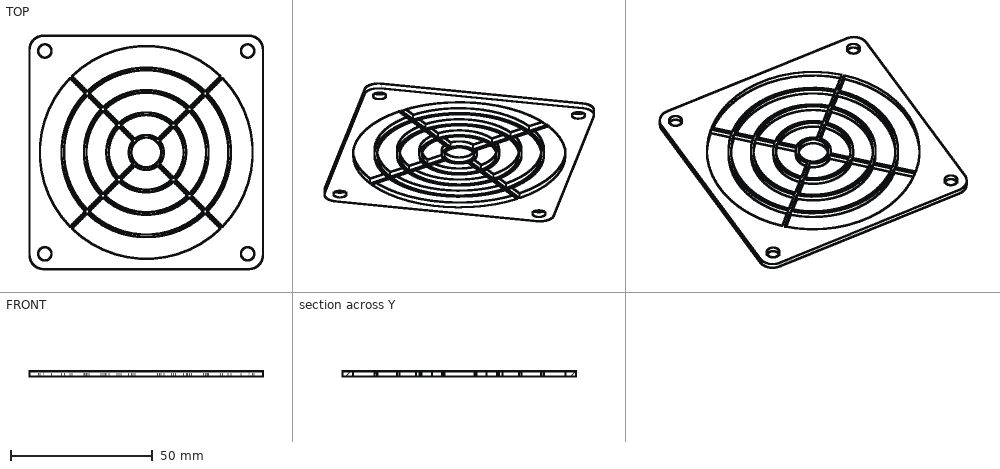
import cadquery as cq

side = 82.4
thickness = 2.0
corner_radius = 5.0
opening_radius = 37.5

hole_diameter = 4.6
hole_spacing = 71.5

bar_width = 1.0
inner_ring_bore = 10.5
ring_pitch = 7.9
ring_count = 4
spoke_angles = (45, 135)


def disc(radius):
    """Full-thickness disc centred on the fan axis."""
    return cq.Workplane("XY").circle(radius).extrude(thickness)


def make_frame():
    """Rounded square plate with the fan opening and mounting holes."""
    plate = cq.Workplane("XY").rect(side, side).extrude(thickness)
    plate = plate.edges("|Z").fillet(corner_radius)
    holes = (
        cq.Workplane("XY")
        .rect(hole_spacing, hole_spacing, forConstruction=True)
        .vertices()
        .circle(hole_diameter / 2)
        .extrude(thickness)
    )
    return plate.cut(disc(opening_radius)).cut(holes)


def make_ring(inner_radius):
    """One circular guard bar."""
    return disc(inner_radius + bar_width).cut(disc(inner_radius))


def make_spokes():
    """Diagonal bars from the innermost ring out into the frame."""
    length = 2 * (opening_radius + bar_width)
    spokes = cq.Workplane("XY")
    for angle in spoke_angles:
        bar = cq.Workplane("XY").rect(length, bar_width).extrude(thickness)
        spokes = spokes.add(bar.rotate((0, 0, 0), (0, 0, 1), angle))
    hub_clearance = disc(inner_ring_bore / 2 + bar_width / 2)
    return spokes.combine().cut(hub_clearance)


result = make_frame().union(make_spokes())
for index in range(ring_count):
    result = result.union(make_ring(inner_ring_bore / 2 + index * ring_pitch))